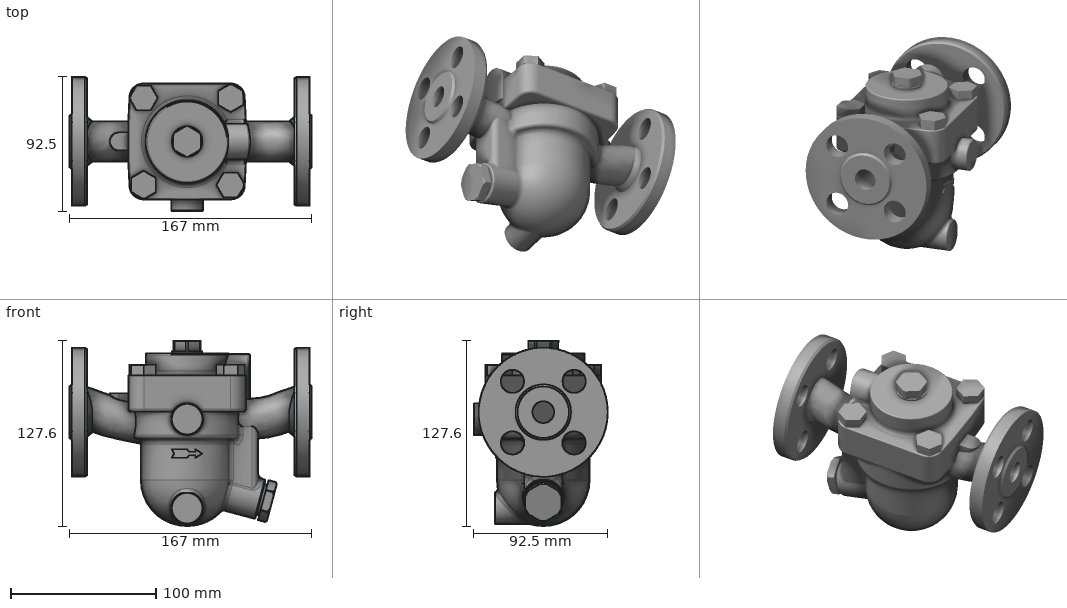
import cadquery as cq
import math


margin = 1.0

inlet_end = -81.0
outlet_end = 86.0
flange_dia = 89.0
flange_thickness = 10.6
flange_chamfer_length = 1.7
flange_chamfer_depth = 1.1
raised_face_height = 1.6
raised_face_dia = 35.4
raised_face_root_dia = 38.3
bolt_circle_dia = 60.0
bolt_hole_dia = 16.0
bolt_hole_count = 4
port_dia = 15.0
port_depth = 26.0

pipe_dia = 28.0
pipe_root_dia = 33.5
pipe_root_length = 3.5
inlet_path = [(-73, 4.0), (-64, 0.8), (-54, -2.6), (-43, -5.3), (-25, -9.0)]
outlet_path = [(78, 4.2), (69, 1.2), (60, -2.2), (45, -4.5), (25, -5.0)]

body_radius = 32.0
dome_centre_z = -46.5
neck_radius = 38.0
neck_bottom_z = -18.2
neck_edge_radius = 2.5
neck_root_radius = neck_radius - neck_edge_radius - body_radius

plate_bottom_z = 0.3
joint_z = 13.1
plate_top_z = 25.5
plate_half_x = 39.3
plate_half_y = 40.0
plate_bulge = 1.3
plate_bulge_half_width = 14.0
plate_corner_radius = 10.0
plate_edge_radius = 0.9
plate_bottom_edge_radius = 2.0

cap_dia = 57.1
cap_top_z = 40.7
cap_root_radius = 3.0
cap_edge_radius = 1.0
duct_radius = 12.3
duct_top_z = 40.1
duct_end_radius = 43.4
duct_edge_radius = 1.2
duct_bottom_z = 9.0

bolt_pitch = 60.0
bolt_flats = 17.0
bolt_head_height = 7.0
plug_flats = 19.0
plug_dia = 21.0
plug_collar_height = 1.4
plug_top_z = 49.1

boss_dia = 22.0
boss_edge_chamfer = 0.5
upper_boss_z = -4.8
upper_boss_face_y = -48.0
lower_boss_z = -66.1
lower_boss_face_y = -33.4
lower_boss_root_radius = 2.4

lug_width = 12.4
lug_centre_x = -47.0
lug_height = 8.0

channel_half_width = 13.0
channel_face_x = 49.0
channel_top_z = -8.2
channel_edge_radius = 4.4
channel_root_radius = 4.0
strainer_angle = 15.0
strainer_dia = 28.0
strainer_reach = 52.3
strainer_edge_chamfer = 0.6
strainer_root_radius = 3.2
strainer_gasket_dia = 22.0
strainer_gasket_height = 2.0
strainer_plug_flats = 25.0
strainer_plug_height = 6.2
strainer_plug_dia = 28.6
strainer_plug_chamfer = 1.2

arrow_centre_z = -28.5
arrow_height = 0.6
arrow_length = 20.8
arrow_notch = 1.4
arrow_tail_half_width = 2.8
arrow_shaft_half_width = 1.2
arrow_head_half_width = 3.0
arrow_head_x = 5.6


def hexagon(flats, height, z, x=0.0, y=0.0, corner_on_x=True):
    across_corners = flats * 2 / math.sqrt(3)
    turn = 0 if corner_on_x else 30
    prism = cq.Workplane("XY").polygon(6, across_corners).extrude(height)
    return prism.rotate((0, 0, 0), (0, 0, 1), turn).translate((x, y, z))


def cylinder_z(diameter, height, z):
    return cq.Workplane("XY").workplane(offset=z).circle(diameter / 2).extrude(height)


def pipe_flange(end_x, inward):
    """Solid flange whose raised face lies at end_x; inward is the X direction into the part."""
    face_x = end_x + inward * raised_face_height
    back_x = face_x + inward * flange_thickness
    rim_x = back_x - inward * flange_chamfer_length
    root_x = back_x + inward * pipe_root_length
    rim = flange_dia / 2
    profile = (
        cq.Workplane("XY")
        .moveTo(end_x, 0)
        .lineTo(end_x, raised_face_dia / 2)
        .lineTo(face_x, raised_face_root_dia / 2)
        .lineTo(face_x, rim)
        .lineTo(rim_x, rim)
        .lineTo(back_x, rim - flange_chamfer_depth)
        .lineTo(back_x, pipe_root_dia / 2)
        .lineTo(root_x, pipe_dia / 2)
        .lineTo(root_x, 0)
        .close()
    )
    return profile.revolve(360, (0, 0, 0), (1, 0, 0))


def flange_holes(end_x, inward):
    depth = raised_face_height + flange_thickness
    face = cq.Workplane("YZ").workplane(offset=end_x)
    first_angle = 180 / bolt_hole_count
    places = face.polarArray(bolt_circle_dia / 2, first_angle, 360, bolt_hole_count)
    bolts = places.circle(bolt_hole_dia / 2).extrude(inward * depth)
    port = face.circle(port_dia / 2).extrude(inward * port_depth)
    return bolts.union(port)


def pipe(points):
    path = cq.Workplane("XZ").spline(points)
    start_x, start_z = points[0]
    tangent = path.val().tangentAt(0)
    plane = cq.Plane(origin=(start_x, 0, start_z), xDir=(0, 1, 0), normal=tangent.toTuple())
    return cq.Workplane(plane).circle(pipe_dia / 2).sweep(path)


def body():
    dome_bottom = dome_centre_z - body_radius
    dome_mid = body_radius / math.sqrt(2)
    edge_top = neck_bottom_z + neck_edge_radius
    profile = (
        cq.Workplane("XZ")
        .moveTo(0, dome_bottom)
        .threePointArc((dome_mid, dome_centre_z - dome_mid), (body_radius, dome_centre_z))
        .lineTo(body_radius, neck_bottom_z - neck_root_radius)
        .radiusArc((neck_radius - neck_edge_radius, neck_bottom_z), neck_root_radius)
        .radiusArc((neck_radius, edge_top), -neck_edge_radius)
        .lineTo(neck_radius, plate_bottom_z + margin)
        .lineTo(0, plate_bottom_z + margin)
        .close()
    )
    return profile.revolve(360, (0, 0, 0), (0, 1, 0))


def plate():
    """Cover and body flanges as one block; its X sides bulge slightly in the middle."""
    bulge_x = plate_half_x + plate_bulge
    half_outline = [
        (plate_half_x, -plate_half_y),
        (bulge_x, -plate_bulge_half_width),
        (bulge_x, plate_bulge_half_width),
        (plate_half_x, plate_half_y),
    ]
    outline = half_outline + [(-x, -y) for x, y in half_outline]
    height = plate_top_z - plate_bottom_z
    block = cq.Workplane("XY").workplane(offset=plate_bottom_z).polyline(outline).close().extrude(height)
    block = block.edges("|Z").edges("<Y or >Y").fillet(plate_corner_radius)
    block = block.faces(">Z").edges().fillet(plate_edge_radius)
    return block.faces("<Z").edges().fillet(plate_bottom_edge_radius)


def duct():
    """Arched duct that leads from the cap down the outlet side of the plate."""
    duct_axis_z = duct_top_z - duct_radius
    passage = (
        cq.Workplane("YZ")
        .moveTo(-duct_radius, duct_bottom_z)
        .lineTo(-duct_radius, duct_axis_z)
        .threePointArc((0, duct_top_z), (duct_radius, duct_axis_z))
        .lineTo(duct_radius, duct_bottom_z)
        .close()
        .extrude(duct_end_radius + margin)
    )
    duct_end = cylinder_z(2 * duct_end_radius, duct_top_z - duct_bottom_z, duct_bottom_z)
    passage = passage.intersect(duct_end)
    passage = passage.faces(">X").edges("not <Z").fillet(duct_edge_radius)
    return passage.union(duct_foot())


def duct_foot():
    """Concave fillets where the sides of the duct meet the top of the plate."""
    foot = cap_root_radius
    half_width = duct_radius + foot
    return (
        cq.Workplane("YZ")
        .moveTo(-half_width, plate_top_z)
        .radiusArc((-duct_radius, plate_top_z + foot), -foot)
        .lineTo(duct_radius, plate_top_z + foot)
        .radiusArc((half_width, plate_top_z), -foot)
        .close()
        .extrude(plate_half_x)
    )


def cover_and_flanges():
    """Plate and round cap, filleted at the root of the cap, with the duct added."""
    disc = cylinder_z(cap_dia, cap_top_z - joint_z, joint_z)
    disc = disc.faces(">Z").edges().fillet(cap_edge_radius)
    joined = plate().union(disc)
    reach = cap_dia / 2 + margin
    root = cq.selectors.BoxSelector(
        (-reach, -reach, plate_top_z - margin / 2), (reach, reach, plate_top_z + margin / 2)
    )
    return joined.edges(root).edges("%CIRCLE").fillet(cap_root_radius).union(duct())


def cover_bolts():
    """Corner bolt heads; diagonal neighbours share the turn of their hexagon."""
    heads = cq.Workplane("XY")
    reach = bolt_pitch / 2
    for x in (-reach, reach):
        for y in (-reach, reach):
            heads = heads.union(
                hexagon(bolt_flats, bolt_head_height, plate_top_z, x, y, corner_on_x=x * y < 0)
            )
    return heads


def top_plug():
    height = plug_top_z - cap_top_z
    head = hexagon(plug_flats, height, cap_top_z, corner_on_x=False)
    head = head.intersect(cylinder_z(plug_dia, height, cap_top_z))
    return head.union(cylinder_z(plug_dia, plug_collar_height, cap_top_z))


def front_boss(z, face_y):
    boss = cq.Workplane("XZ").center(0, z).circle(boss_dia / 2).extrude(-face_y)
    return boss.faces("<Y").edges().chamfer(boss_edge_chamfer)


def inlet_lug():
    end = cylinder_z(lug_width, lug_height, joint_z - lug_height).translate((lug_centre_x, 0, 0))
    length = abs(lug_centre_x) - neck_radius
    bar = cq.Workplane("XY").box(length, lug_width, lug_height, centered=(False, True, False))
    return end.union(bar.translate((lug_centre_x, 0, joint_z - lug_height)))


def outlet_channel():
    """Flat-sided rib on the outlet side that ends inside the strainer tube."""
    drop = channel_face_x * math.tan(math.radians(strainer_angle))
    profile = [
        (0, channel_top_z),
        (channel_face_x, channel_top_z),
        (channel_face_x, dome_centre_z - drop),
        (0, dome_centre_z),
    ]
    rib = cq.Workplane("XZ").polyline(profile).close().extrude(channel_half_width, both=True)
    return rib.faces(">X").edges("|Z").fillet(channel_edge_radius)


def strainer():
    """Sloping strainer tube with its gasket and hexagon plug, built upright and then turned."""
    plug_z = strainer_reach + strainer_gasket_height
    tube = cylinder_z(strainer_dia, strainer_reach, 0).faces(">Z").edges().chamfer(strainer_edge_chamfer)
    gasket = cylinder_z(strainer_gasket_dia, strainer_gasket_height, strainer_reach)
    plug = hexagon(strainer_plug_flats, strainer_plug_height, plug_z)
    envelope = cylinder_z(strainer_plug_dia, strainer_plug_height, plug_z)
    plug = plug.intersect(envelope.faces(">Z").edges().chamfer(strainer_plug_chamfer))
    upright = tube.union(gasket).union(plug)
    turned = upright.rotate((0, 0, 0), (0, 1, 0), 90 + strainer_angle)
    return turned.translate((0, 0, dome_centre_z))


def flow_arrow():
    """Raised arrow on the front of the body, pointing to the outlet."""
    upper = [
        (-arrow_length / 2 + arrow_notch, 0),
        (-arrow_length / 2, arrow_tail_half_width),
        (0, arrow_tail_half_width),
        (arrow_notch, arrow_shaft_half_width),
        (arrow_head_x, arrow_shaft_half_width),
        (arrow_head_x, arrow_head_half_width),
        (arrow_length / 2, 0),
    ]
    lower = [(x, -z) for x, z in reversed(upper[1:-1])]
    outer_radius = body_radius + arrow_height
    arrow = cq.Workplane("XZ").center(0, arrow_centre_z).polyline(upper + lower).close().extrude(outer_radius)
    band_bottom = arrow_centre_z - arrow_head_half_width - margin
    band = cylinder_z(2 * outer_radius, 2 * (arrow_centre_z - band_bottom), band_bottom)
    return arrow.intersect(band)


def body_with_boss_and_strainer():
    """Body with the lower front boss and the strainer tube, each filleted where it meets the dome."""
    dome_bottom = dome_centre_z - body_radius
    boss_reach = boss_dia / 2 + margin
    boss_root = cq.selectors.BoxSelector(
        (-boss_reach, lower_boss_face_y + margin, dome_bottom), (boss_reach, -boss_dia / 2, dome_centre_z)
    )
    tube_reach = strainer_dia / 2
    tube_root = cq.selectors.BoxSelector(
        (body_radius / 2, -tube_reach, dome_bottom),
        (body_radius + strainer_root_radius, tube_reach, dome_centre_z + tube_reach),
    )
    joined = body().union(front_boss(lower_boss_z, lower_boss_face_y))
    joined = joined.edges(boss_root).fillet(lower_boss_root_radius).union(strainer())
    return joined.edges(tube_root).edges("not #Y").fillet(strainer_root_radius)


def filleted_body():
    """Body with its outlet channel added, filleted along both flat sides of the channel."""
    joined = body_with_boss_and_strainer().union(outlet_channel())
    side = channel_half_width + margin
    wall = cq.selectors.BoxSelector(
        (body_radius / 2, -side, dome_centre_z), (body_radius, side, neck_bottom_z - neck_root_radius)
    )
    return joined.edges(wall).edges("|Z").fillet(channel_root_radius)


result = filleted_body()
result = result.union(cover_and_flanges())
result = result.union(cover_bolts()).union(top_plug())
result = result.union(front_boss(upper_boss_z, upper_boss_face_y))
result = result.union(pipe(inlet_path)).union(pipe(outlet_path))
result = result.union(inlet_lug()).union(flow_arrow())
pipe_ends = ((inlet_end, 1), (outlet_end, -1))
for end_x, inward in pipe_ends:
    result = result.union(pipe_flange(end_x, inward))
for end_x, inward in pipe_ends:
    result = result.cut(flange_holes(end_x, inward))